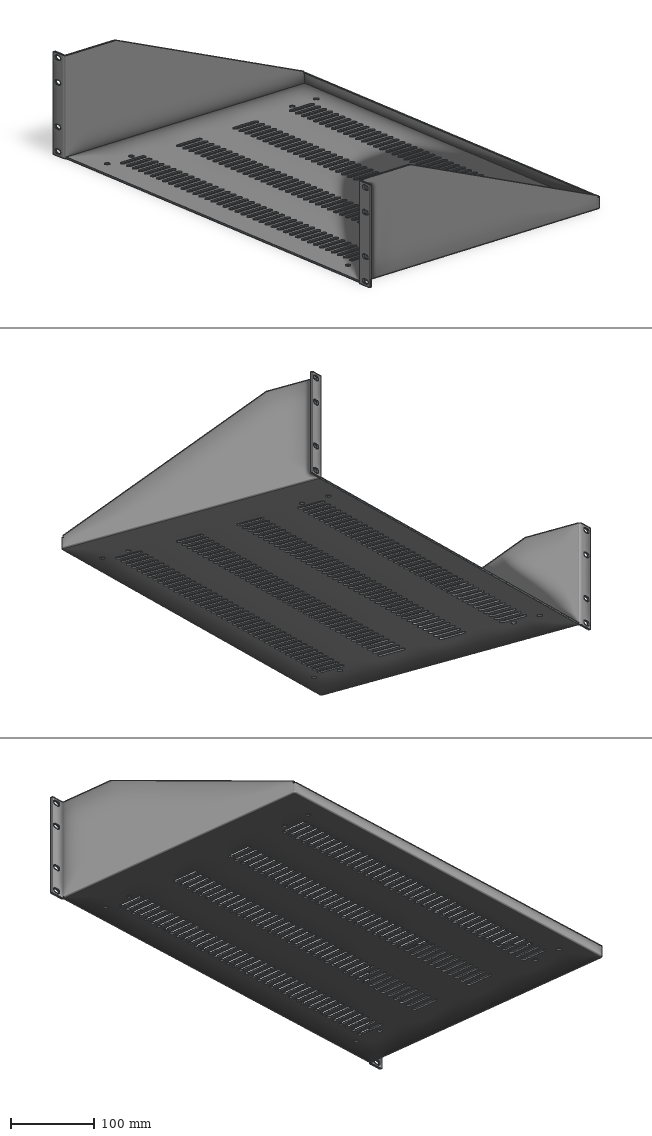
import cadquery as cq

overall_width = 584.35
depth = 381.0
height = 132.54
sheet = 2.28

body_width = 545.0
front_bend_radius = 3.5
floor_setback = sheet
corner_radius = 3.0
floor_bend_radius = sheet
lip_height = 15.0
wall_top_length = 80.5
wall_rear_height = 17.3

rack_hole_spacing = 566.74
ear_corner_radius = 2.0
rack_slot_length = 10.3
rack_slot_height = 6.0
rack_slot_inner_spacing = 57.15
rack_slot_pair_pitch = 31.75

vent_count = 39
vent_pitch = 11.1125
vent_length = 38.1
vent_width = 6.0
vent_rows = 4
vent_row_pitch = 88.9

floor_hole_diameter = 6.35
floor_hole_spacing_x = 443.5
floor_hole_span_y = 330.2
floor_hole_pair_pitch = 38.1

front_y = -depth / 2
back_y = depth / 2
half_body = body_width / 2


def box_between(x_range, y_range, z_range):
    """Box spanning the given (low, high) ranges."""
    size = [high - low for low, high in (x_range, y_range, z_range)]
    return cq.Workplane("XY").box(*size, centered=False).translate((x_range[0], y_range[0], z_range[0]))


def make_tray():
    """Open tray: floor, full-height side walls and a low back lip."""
    tray = box_between((-half_body, half_body), (front_y + floor_setback, back_y), (0, height))
    tray = tray.edges("|Z and >Y").fillet(corner_radius)
    tray = tray.faces("<Z").edges("not <Y").fillet(floor_bend_radius)
    half_inside = half_body - sheet
    tray = tray.cut(box_between((-half_inside, half_inside), (front_y, back_y - sheet), (sheet, height)))
    return tray.cut(box_between((-half_inside, half_inside), (front_y, back_y), (lip_height, height)))


def cut_wall_slope(tray):
    """Slope the side walls down from the level stretch to the back lip."""
    slope_start_y = front_y + wall_top_length
    slope_end_y = back_y - corner_radius
    waste = (
        cq.Workplane("YZ")
        .moveTo(slope_start_y, height)
        .lineTo(slope_end_y, wall_rear_height)
        .lineTo(slope_end_y, lip_height)
        .lineTo(back_y, lip_height)
        .lineTo(back_y, height)
        .close()
        .extrude(half_body, both=True)
    )
    return tray.cut(waste)


def make_ear(side):
    """Mounting ear with the rounded bend that joins it to the wall; side is -1 or 1."""
    bend_x = half_body - sheet
    inner_radius = front_bend_radius - sheet
    tangent_x = bend_x + front_bend_radius
    tangent_y = front_y + front_bend_radius
    ear = (
        cq.Workplane("XY")
        .moveTo(bend_x, tangent_y)
        .radiusArc((tangent_x, front_y), -front_bend_radius)
        .lineTo(overall_width / 2, front_y)
        .lineTo(overall_width / 2, front_y + sheet)
        .lineTo(tangent_x, front_y + sheet)
        .radiusArc((half_body, tangent_y), inner_radius)
        .close()
        .extrude(height)
    )
    ear = ear.edges("|Y and >X").fillet(ear_corner_radius)
    return ear if side > 0 else ear.mirror("YZ")


def front_corner_waste():
    """Square wall corner ahead of the bend tangent, replaced by the ear bend."""
    return box_between(
        (-half_body, half_body),
        (front_y, front_y + front_bend_radius),
        (sheet, height),
    )


def rack_slots():
    """Cutters for the four horizontal slots in each ear."""
    inner = rack_slot_inner_spacing / 2
    outer = inner + rack_slot_pair_pitch
    points = [
        (side * rack_hole_spacing / 2, height / 2 + offset)
        for side in (-1, 1)
        for offset in (-outer, -inner, inner, outer)
    ]
    return (
        cq.Workplane("XZ", origin=(0, front_y + sheet, 0))
        .pushPoints(points)
        .slot2D(rack_slot_length, rack_slot_height)
        .extrude(sheet)
    )


def vent_slots():
    """Cutters for the rows of ventilation slots in the floor."""
    return (
        cq.Workplane("XY")
        .rarray(vent_pitch, vent_row_pitch, vent_count, vent_rows)
        .slot2D(vent_length, vent_width, 90)
        .extrude(sheet)
    )


def floor_holes():
    """Cutters for the pairs of round holes near the four floor corners."""
    outer = floor_hole_span_y / 2
    inner = outer - floor_hole_pair_pitch
    points = [
        (side * floor_hole_spacing_x / 2, y)
        for side in (-1, 1)
        for y in (-outer, -inner, inner, outer)
    ]
    return cq.Workplane("XY").pushPoints(points).circle(floor_hole_diameter / 2).extrude(sheet)


shelf = cut_wall_slope(make_tray())
shelf = shelf.cut(front_corner_waste())
for side in (-1, 1):
    shelf = shelf.union(make_ear(side))
result = shelf.cut(rack_slots()).cut(vent_slots()).cut(floor_holes())